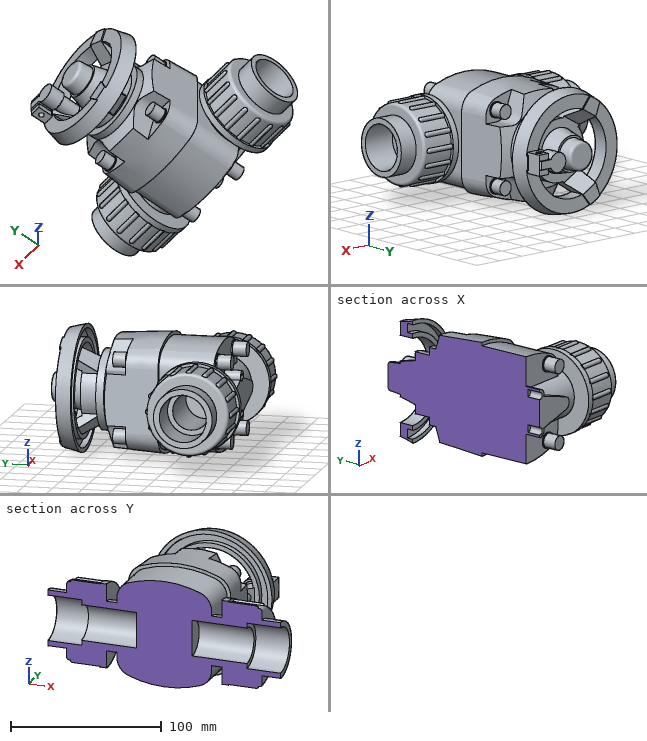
import cadquery as cq
import math


overall_length = 166.0
end_x = overall_length / 2
spigot_radius = 20.0
socket_radius = 16.0
socket_depth = 24.0
bore_radius = 12.5
bore_end_x = 20.0
neck_radius = 35.7 / 2

nut_radius = 28.0
nut_inner_x = 41.0
nut_outer_x = 69.8
nut_fillet = 2.1
nut_flange_radius = 30.0
nut_flange_outer_x = 45.7
nut_rib_radius = 3.58 / 2
nut_rib_top_radius = 29.5
nut_rib_end_x = 67.2
nut_rib_count = 16

body_low_y = -9.5
joint_y = 27.8
body_half_x = 34.0
body_half_z = 37.65
body_face_arc_radius = 74.5
body_corner_radius = 13.0
bonnet_overhang = 2.4
bonnet_corner_radius = 13.6
bonnet_taper_deg = 3.8
bonnet_crown_y = 67.0
bonnet_crown_slope = 0.325
collar_radius = 27.4
collar_top_y = 72.4

pocket_floor_y = 50.4
pocket_x = 26.0
pocket_z = 27.0
pocket_radius = 9.4
pocket_wall_deg = 20.0
pocket_reach = 20.0
upper_bolt_offset = 26.0
upper_bolt_top_y = 60.0
lower_bolt_x = 22.7
lower_bolt_z = 26.8
lower_bolt_low_y = -19.6
bolt_radius = 10.07 / 2
washer_radius = 11.08 / 2
washer_thickness = 0.8

pad_low_y = -20.9
pad_half_x = 31.6
pad_tip_radius = 4.5
pad_apex_z = 12.4
boss_radius = 4.5
boss_hole_radius = 2.5
boss_hole_depth = 10.0

rim_low_y = 86.0
rim_top_y = 96.8
rim_low_radius = 43.0
rim_top_radius = 40.4
rim_inner_radius = 30.5
groove_outer_radius = 40.0
groove_inner_radius = 34.0
groove_depth = 4.5
hub_radius = 21.9
hub_top_y = 84.2
stem_base_radius = 31.28 / 2
stem_top_radius = 12.5
cap_base_radius = 11.0
cap_top_radius = 10.0
cap_top_y = 107.1
cap_fillet = 2.2
arm_count = 3
arm_low_y = 73.4
arm_top_y = 97.8
arm_root_radius = 12.0
arm_pad_inner_radius = 29.8
arm_buried_radius = 37.0
arm_hub_width = 15.5
arm_tip_width = 9.8

lock_x = 23.5
lock_pin_radius = 10.88 / 2
lock_top_y = 109.71
lock_knob_radius = 6.9
lock_knob_low_y = 98.8
lug_inner_x = 31.0
lug_outer_x = 39.1
lug_half_z = 7.2
lug_top_y = 108.5
tab_half_z = 3.0
tab_chamfer = 1.0
lug_hole_x = 34.9
lug_hole_y = 103.2
lug_hole_radius = 3.58 / 2


def plane_at(y):
    """XZ workplane at height y; a positive extrusion runs toward -Y."""
    return cq.Workplane("XZ", origin=(0, y, 0))


def cylinder(x, z, radius, low_y, high_y):
    """Cylinder along Y."""
    return plane_at(high_y).center(x, z).circle(radius).extrude(high_y - low_y)


def turned(points):
    """Solid of revolution about Y from (radius, y) points."""
    return cq.Workplane("XY").polyline(points).close().revolve(360, (0, 0, 0), (0, 1, 0))


def four_corners(solid):
    """Copies of a solid in all four XZ quadrants."""
    pair = solid.union(solid.mirror("YZ"))
    return pair.union(pair.mirror("XY"))


def barrel_outline(workplane, growth, corner_radius):
    """Closed outline with flat X sides, bowed Z faces and round corners; `growth` widens it all round."""
    half_x = body_half_x + growth
    half_z = body_half_z + growth
    face_radius = body_face_arc_radius + growth
    face_center_z = half_z - face_radius
    corner_x = half_x - corner_radius
    corner_z = face_center_z + math.sqrt((face_radius - corner_radius) ** 2 - corner_x**2)
    tangent_angle = math.atan2(corner_z - face_center_z, corner_x)
    blend_x = face_radius * math.cos(tangent_angle)
    blend_z = face_center_z + face_radius * math.sin(tangent_angle)
    mid_x = corner_x + corner_radius * math.cos(tangent_angle / 2)
    mid_z = corner_z + corner_radius * math.sin(tangent_angle / 2)
    return (
        workplane.moveTo(half_x, -corner_z)
        .lineTo(half_x, corner_z)
        .threePointArc((mid_x, mid_z), (blend_x, blend_z))
        .threePointArc((0, half_z), (-blend_x, blend_z))
        .threePointArc((-mid_x, mid_z), (-half_x, corner_z))
        .lineTo(-half_x, -corner_z)
        .threePointArc((-mid_x, -mid_z), (-blend_x, -blend_z))
        .threePointArc((0, -half_z), (blend_x, -blend_z))
        .threePointArc((mid_x, -mid_z), (half_x, -corner_z))
        .close()
    )


def make_body():
    return barrel_outline(plane_at(joint_y), 0, body_corner_radius).extrude(joint_y - body_low_y)


def corner_pocket():
    """Bolt recess in the +X +Z corner: round about the bolt, with one square and one splayed wall."""
    splay = math.radians(pocket_wall_deg)
    tangent_x = pocket_x - pocket_radius * math.cos(splay)
    tangent_z = pocket_z - pocket_radius * math.sin(splay)
    far_x = pocket_x + pocket_reach
    far_z = pocket_z + pocket_reach
    splay_end_x = tangent_x - (far_z - tangent_z) * math.tan(splay)
    mid_angle = (splay + math.pi / 2) / 2
    mid_x = pocket_x - pocket_radius * math.cos(mid_angle)
    mid_z = pocket_z - pocket_radius * math.sin(mid_angle)
    wall_z = pocket_z - pocket_radius
    return (
        plane_at(collar_top_y)
        .moveTo(splay_end_x, far_z)
        .lineTo(tangent_x, tangent_z)
        .threePointArc((mid_x, mid_z), (pocket_x, wall_z))
        .lineTo(far_x, wall_z)
        .lineTo(far_x, far_z)
        .close()
        .extrude(collar_top_y - pocket_floor_y)
    )


def make_bonnet():
    """Tapered upper housing with a conical crown, four bolt pockets and a round collar."""
    height = bonnet_crown_y - joint_y
    inset = height * math.tan(math.radians(bonnet_taper_deg))
    top_outline = barrel_outline(
        plane_at(bonnet_crown_y), bonnet_overhang - inset, bonnet_corner_radius - inset
    )
    housing = top_outline.extrude(height, taper=-bonnet_taper_deg)
    crown_edge_radius = body_half_x + body_half_z
    crown_edge_y = bonnet_crown_y - bonnet_crown_slope * (crown_edge_radius - collar_radius)
    crown = turned(
        [
            (0, joint_y),
            (crown_edge_radius, joint_y),
            (crown_edge_radius, crown_edge_y),
            (collar_radius, bonnet_crown_y),
            (0, bonnet_crown_y),
        ]
    )
    collar = cylinder(0, 0, collar_radius, bonnet_crown_y, collar_top_y)
    return housing.intersect(crown).cut(four_corners(corner_pocket())).union(collar)


def make_bolts():
    upper_washer_y = pocket_floor_y + washer_thickness
    lower_washer_y = body_low_y - washer_thickness
    upper = cylinder(upper_bolt_offset, upper_bolt_offset, bolt_radius, pocket_floor_y, upper_bolt_top_y)
    upper_washer = cylinder(
        upper_bolt_offset, upper_bolt_offset, washer_radius, pocket_floor_y, upper_washer_y
    )
    lower = cylinder(lower_bolt_x, lower_bolt_z, bolt_radius, lower_bolt_low_y, body_low_y)
    lower_washer = cylinder(lower_bolt_x, lower_bolt_z, washer_radius, lower_washer_y, body_low_y)
    return four_corners(upper.union(upper_washer).union(lower).union(lower_washer))


def make_mounting_pad():
    """Diamond pad with rounded tips and two drilled bosses, rising into the neck pipe."""
    tip_x = pad_half_x - pad_tip_radius
    apex_distance = math.hypot(tip_x, pad_apex_z)
    normal_angle = math.atan2(pad_apex_z, -tip_x) - math.acos(pad_tip_radius / apex_distance)
    tangent_x = tip_x + pad_tip_radius * math.cos(normal_angle)
    tangent_z = pad_tip_radius * math.sin(normal_angle)
    pad = (
        plane_at(0)
        .moveTo(0, pad_apex_z)
        .lineTo(tangent_x, tangent_z)
        .threePointArc((pad_half_x, 0), (tangent_x, -tangent_z))
        .lineTo(0, -pad_apex_z)
        .lineTo(-tangent_x, -tangent_z)
        .threePointArc((-pad_half_x, 0), (-tangent_x, tangent_z))
        .close()
        .extrude(-pad_low_y)
    )
    for side in (-1, 1):
        pad = pad.union(cylinder(0, side * pad_apex_z, boss_radius, pad_low_y, 0))
    return pad


def boss_holes():
    top_y = pad_low_y + boss_hole_depth
    hole = cylinder(0, pad_apex_z, boss_hole_radius, pad_low_y, top_y)
    return hole.union(hole.mirror("XY"))


def x_cylinder(radius, start_x, stop_x):
    """Cylinder along the flow axis."""
    return cq.Workplane("YZ", origin=(start_x, 0, 0)).circle(radius).extrude(stop_x - start_x)


def make_union_end():
    """Union nut with grip ribs and the spigot, on the +X side."""
    nut = x_cylinder(nut_radius, nut_inner_x, nut_outer_x).faces(">X").edges().fillet(nut_fillet)
    nut = nut.union(x_cylinder(nut_flange_radius, nut_inner_x, nut_flange_outer_x))
    rib_axis_radius = nut_rib_top_radius - nut_rib_radius
    rib = (
        cq.Workplane("YZ", origin=(nut_inner_x, 0, 0))
        .center(rib_axis_radius, 0)
        .circle(nut_rib_radius)
        .extrude(nut_rib_end_x - nut_rib_radius - nut_inner_x)
    )
    rib_end = cq.Workplane("XY").sphere(nut_rib_radius)
    rib = rib.union(rib_end.translate((nut_rib_end_x - nut_rib_radius, rib_axis_radius, 0)))
    for index in range(nut_rib_count):
        nut = nut.union(rib.rotate((0, 0, 0), (1, 0, 0), index * 360 / nut_rib_count))
    return nut.union(x_cylinder(spigot_radius, nut_inner_x, end_x))


def end_bore():
    """Stepped blind bore of the +X end."""
    socket = x_cylinder(socket_radius, end_x - socket_depth, end_x)
    return socket.union(x_cylinder(bore_radius, bore_end_x, end_x))


def arm_plan(low_y, high_y):
    """Wedge along +X with the plan shape of one arm, narrowing outward to the rim."""
    narrowing = (arm_hub_width - arm_tip_width) / (rim_top_radius - hub_radius)
    root_half = (arm_hub_width + narrowing * (hub_radius - arm_root_radius)) / 2
    tip_half = arm_tip_width / 2
    return (
        plane_at(high_y)
        .polyline(
            [
                (arm_root_radius, -root_half),
                (rim_top_radius, -tip_half),
                (rim_top_radius, tip_half),
                (arm_root_radius, root_half),
            ]
        )
        .close()
        .extrude(high_y - low_y)
    )


def make_arm():
    """Handwheel arm along +X, sloping up from the hub until it is buried in the rim."""
    side = (
        cq.Workplane("XY")
        .polyline(
            [
                (arm_root_radius, arm_low_y),
                (hub_radius, arm_low_y),
                (rim_inner_radius, rim_low_y),
                (arm_buried_radius, arm_top_y),
                (arm_pad_inner_radius, arm_top_y),
                (hub_radius, hub_top_y),
                (arm_root_radius, hub_top_y),
            ]
        )
        .close()
        .extrude(arm_hub_width, both=True)
    )
    return side.intersect(arm_plan(arm_low_y, arm_top_y))


def around_wheel(solid):
    """Copies of a solid at every arm position."""
    copies = solid
    for index in range(1, arm_count):
        copies = copies.union(solid.rotate((0, 0, 0), (0, 1, 0), index * 360 / arm_count))
    return copies


def make_rim():
    """Conical rim, grooved underneath, with a raised pad on top at each arm."""
    rim_slope = (rim_low_radius - rim_top_radius) / (rim_top_y - rim_low_y)
    pad_top_radius = rim_top_radius - rim_slope * (arm_top_y - rim_top_y)
    rim = turned(
        [
            (rim_inner_radius, rim_low_y),
            (groove_inner_radius, rim_low_y),
            (groove_inner_radius, rim_low_y + groove_depth),
            (groove_outer_radius, rim_low_y + groove_depth),
            (groove_outer_radius, rim_low_y),
            (rim_low_radius, rim_low_y),
            (pad_top_radius, arm_top_y),
            (rim_inner_radius, arm_top_y),
        ]
    )
    between_pads = cylinder(0, 0, rim_low_radius, rim_top_y, arm_top_y)
    return rim.cut(between_pads.cut(around_wheel(arm_plan(rim_top_y, arm_top_y))))


def make_handwheel():
    hub = cylinder(0, 0, hub_radius, collar_top_y, hub_top_y)
    stem = turned(
        [
            (0, hub_top_y),
            (stem_base_radius, hub_top_y),
            (stem_top_radius, rim_top_y),
            (0, rim_top_y),
        ]
    )
    cap = turned(
        [
            (0, rim_top_y),
            (cap_base_radius, rim_top_y),
            (cap_top_radius, cap_top_y),
            (0, cap_top_y),
        ]
    )
    cap = cap.faces(">Y").edges().fillet(cap_fillet)
    return make_rim().union(hub).union(stem).union(cap).union(around_wheel(make_arm()))


def lug_block(low_x, half_z, low_y, high_y):
    """Block reaching from low_x to the outer face of the lug."""
    return (
        plane_at(high_y)
        .center((low_x + lug_outer_x) / 2, 0)
        .rect(lug_outer_x - low_x, 2 * half_z)
        .extrude(high_y - low_y)
    )


def make_lock():
    """Locking pin through the hub with a knob and tab, pinned to a padlock lug on the rim."""
    pin = cylinder(lock_x, 0, lock_pin_radius, collar_top_y, lock_knob_low_y)
    knob = cylinder(lock_x, 0, lock_knob_radius, lock_knob_low_y, lock_top_y)
    tab = lug_block(lock_x, tab_half_z, lock_knob_low_y, lock_top_y)
    tab = tab.faces(">X").edges(">Y").chamfer(tab_chamfer)
    lug = lug_block(lug_inner_x, lug_half_z, rim_low_y + groove_depth, lug_top_y)
    padlock_hole = (
        cq.Workplane("XY")
        .center(lug_hole_x, lug_hole_y)
        .circle(lug_hole_radius)
        .extrude(lug_half_z, both=True)
    )
    return pin.union(knob).union(tab).union(lug).cut(padlock_hole)


union_end = make_union_end()
bore = end_bore()

result = (
    make_body()
    .union(make_bonnet())
    .union(x_cylinder(neck_radius, -nut_inner_x, nut_inner_x))
    .union(make_mounting_pad())
    .union(make_bolts())
    .union(union_end)
    .union(union_end.mirror("YZ"))
    .union(make_handwheel())
    .union(make_lock())
    .cut(boss_holes())
    .cut(bore)
    .cut(bore.mirror("YZ"))
)